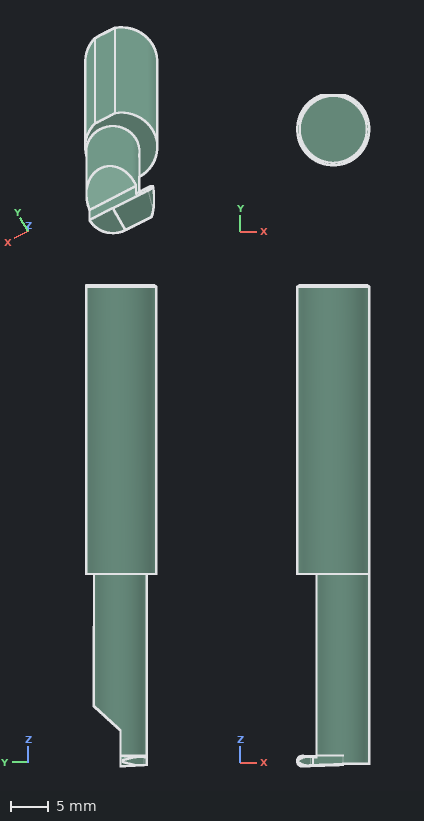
import cadquery as cq
import math

shank_diameter = 9.525
shank_radius = shank_diameter / 2
shank_length = 38.1
overall_length = 63.47
flat_offset = 4.51
end_chamfer_radial = 0.34
end_chamfer_axial = 0.25

neck_diameter = 7.0
neck_radius = neck_diameter / 2
neck_center_x = shank_radius - neck_radius
neck_left_x = neck_center_x - neck_radius
neck_bottom_z = 0.34
neck_top_z = overall_length - shank_length

runout_low_z = 4.76
runout_high_z = 7.97

nose_width = 1.42
nose_radius = nose_width / 2
tip_x = -shank_radius
nose_center_x = tip_x + nose_radius
side_clearance = 2.0
side_draft = 3.0
nose_lean = 15.0
root_top_z = 1.48

heel_x = -3.02
heel_y = -3.15
corner_x = -2.64
head_depth = neck_radius
relief_radius = 9.8


def make_shank():
    shank = (
        cq.Workplane("XY", origin=(0, 0, neck_top_z))
        .circle(shank_radius)
        .extrude(shank_length)
        .faces(">Z")
        .chamfer(end_chamfer_axial, end_chamfer_radial)
    )
    keep = (
        cq.Workplane("XY", origin=(0, flat_offset - shank_radius, neck_top_z))
        .box(shank_diameter, shank_diameter, shank_length, centered=(True, True, False))
    )
    return shank.intersect(keep)


def make_neck():
    neck = (
        cq.Workplane("XY", origin=(neck_center_x, 0, neck_bottom_z))
        .circle(neck_radius)
        .extrude(neck_top_z - neck_bottom_z)
    )
    chip_relief = (
        cq.Workplane("YZ", origin=(neck_center_x, 0, 0))
        .moveTo(0, 0)
        .lineTo(0, runout_low_z)
        .lineTo(neck_radius, runout_high_z)
        .lineTo(neck_radius, 0)
        .close()
        .extrude(neck_radius, both=True)
    )
    return neck.cut(chip_relief)


def add_nose_section(plane, center_x, radius):
    """Add the nose profile: a round front with straight sides closing in towards +X."""
    slope = math.radians(side_clearance)
    tangent_x = center_x + radius * math.sin(slope)
    tangent_rise = radius * math.cos(slope)
    back_rise = tangent_rise - (neck_center_x - tangent_x) * math.tan(slope)
    return (
        plane.moveTo(neck_center_x, -back_rise)
        .lineTo(tangent_x, -tangent_rise)
        .threePointArc((center_x - radius, 0), (tangent_x, tangent_rise))
        .lineTo(neck_center_x, back_rise)
        .close()
    )


def make_nose():
    """Round-nosed bar that shrinks and leans towards +X as it runs from the rake face to -Y."""
    back_center_x = nose_center_x + head_depth * math.tan(math.radians(nose_lean))
    back_radius = nose_radius - head_depth * math.tan(math.radians(side_draft))
    rake_plane = cq.Workplane("XZ", origin=(0, 0, nose_radius))
    rake_section = add_nose_section(rake_plane, nose_center_x, nose_radius)
    back_plane = rake_section.workplane(offset=head_depth)
    return add_nose_section(back_plane, back_center_x, back_radius).loft(ruled=True)


def make_root_block():
    """Block with a level top that carries the nose bar into the neck."""
    return (
        cq.Workplane("XY", origin=(0, 0, nose_radius))
        .moveTo(neck_left_x, 0)
        .lineTo(neck_center_x, 0)
        .lineTo(neck_center_x, -head_depth)
        .lineTo(neck_left_x, -head_depth)
        .close()
        .extrude(root_top_z - nose_radius)
    )


def make_head():
    outline = (
        cq.Workplane("XY")
        .moveTo(tip_x, 0)
        .radiusArc((heel_x, heel_y), -relief_radius)
        .lineTo(corner_x, -head_depth)
        .lineTo(neck_center_x, -head_depth)
        .lineTo(neck_center_x, 0)
        .close()
        .extrude(root_top_z)
    )
    return make_nose().union(make_root_block()).intersect(outline)


result = make_shank().union(make_neck()).union(make_head())